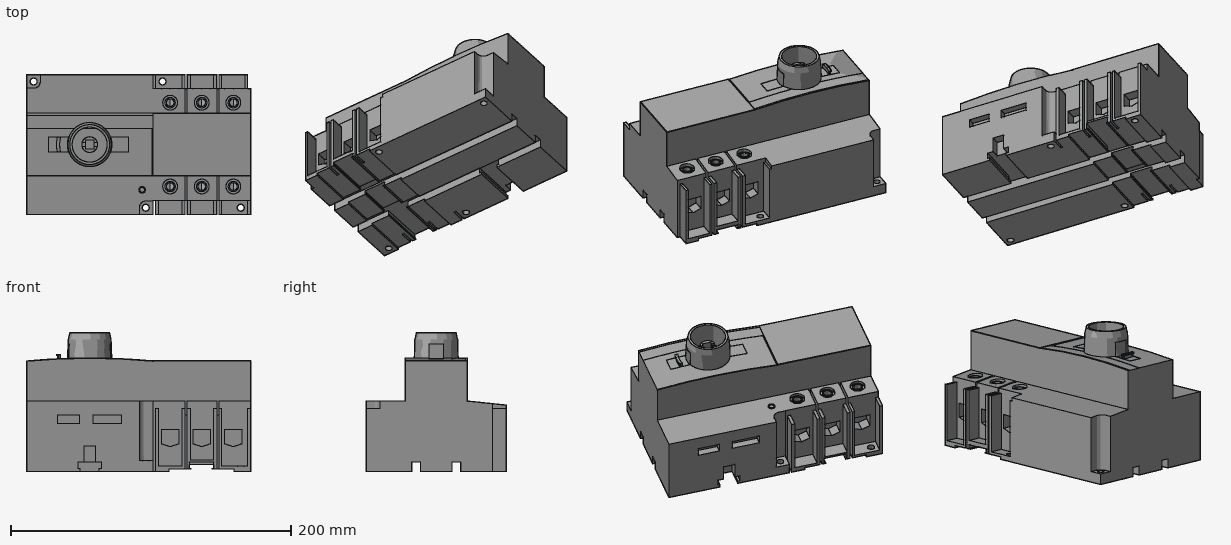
import cadquery as cq


length = 160.0
width = 100.0
half_width = width / 2
total_height = 99.2
shoulder_height = 50.4
rear_edge_height = 47.5
mechanism_length = 90.2
terminal_half_width = 40.0

ridge_half_width = 22.4
cover_height = 79.4
crown_end_height = 79.0
crown_height = 81.1
edge_break = 0.3
seam_width = 0.6
seam_depth = 0.3
strip_front = 11.4
strip_rear = 20.8
strip_depth = 0.2

knob_x = 45.0
knob_base_radius = 15.8
knob_break_radius = 15.4
knob_top_radius = 14.2
knob_break_height = 94.2
knob_bore_radius = 12.5
knob_seat = crown_end_height
pointer_width = 10.5
pointer_top = 91.2
pad_thickness = 0.2
hub_radius = 5.6
hub_top = 90.4
hub_notch_width = 2.7
hub_notch_depth = 1.6
socket_size = 6.2

slot_left = 15.5
slot_right = 72.6
slot_depth = 0.2
lever_outer_radius = 23.7
lever_rib_radius = 23.0
lever_rib_width = 8.0
lever_tab_radius = 22.4
lever_inner_radius = 21.5
lever_top = 83.7
lever_flange_thickness = 0.8

pole_pitch = 22.5
first_pole_x = 102.4
pole_x = [first_pole_x + pole_pitch * i for i in range(3)]
gap_floor = 40.3
fin_height = 45.1
tray_floor = 3.8
middle_tray_floor = 8.2
screw_y = 30.0
screw_bore_radius = 5.3
screw_bore_depth = 2.0
screw_head_radius = 3.7
screw_head_height = 1.1
screw_socket_radius = 2.7
screw_socket_depth = 4.8
window_width = 12.3
window_top = 30.0
window_side = 19.8
window_tip = 17.8
window_depth = 8.0

front_trays = [(91.8, 94.2, 110.9, 113.1), (114.5, 116.8, 133.5, 135.7), (137.3, 139.0, 157.8, length)]
rear_trays = [(mechanism_length, 91.8, 110.9, 113.1), (114.5, 116.8, 133.5, 135.7), (137.3, 139.0, 156.0, 157.8)]

mount_hole_radius = 2.4
mount_inset = 5.0
corner_size = 9.8
corner_radius = 4.8
corner_floor = 7.8
rail_groove_inner = 11.4
rail_groove_outer = 17.5
rail_groove_height = 6.7
foot_left = 101.8
foot_right = 147.8
foot_height = 1.8
lip_height = 2.2
channel_height = 5.0
channel_mouth = (117.5, 132.3)
channel_span = (116.2, 133.5)
mount_holes = [
    (mount_inset, 1),
    (97.0, 1),
    (85.0, -1),
    (152.8, -1),
]

front_window_spans = [(22.0, 37.8), (47.5, 67.7)]
front_window_bottom = 34.2
front_window_top = 40.5
front_window_depth = 5.1
latch_stem_span = (41.0, 49.3)
latch_stem_top = 18.4
latch_stem_depth = 6.2
latch_slide_span = (36.6, 53.3)
latch_mouth_span = (38.2, 51.5)

indicator_x = 82.4
indicator_y = -32.3
indicator_outer_radius = 2.4
indicator_inner_radius = 1.8
indicator_depth = 0.5


def box(x0, x1, y0, y1, z0, z1):
    """Axis-aligned box between two opposite corners."""
    return cq.Workplane("XY").box(x1 - x0, y1 - y0, z1 - z0, centered=False).translate((x0, y0, z0))


def rod(x, y, radius, z0, z1):
    """Vertical cylinder."""
    return cq.Workplane("XY", origin=(x, y, z0)).circle(radius).extrude(z1 - z0)


def rear_shelf_height(y):
    """Height of the sloping shelf behind the ridge."""
    fall = shoulder_height - rear_edge_height
    return shoulder_height - fall * (y - ridge_half_width) / (half_width - ridge_half_width)


def base_block(x0, x1, reach):
    """Lower housing: level shelf in front, sloping shelf behind the ridge."""
    outline = [
        (-reach, 0),
        (reach, 0),
        (reach, rear_shelf_height(reach)),
        (ridge_half_width, shoulder_height),
        (-reach, shoulder_height),
    ]
    return cq.Workplane("YZ", origin=(x0, 0, 0)).polyline(outline).close().extrude(x1 - x0)


def crown_profile(offset=0.0):
    """Side outline of the crowned half of the ridge, its top lowered by offset."""
    return (
        cq.Workplane("XZ", origin=(0, ridge_half_width, 0))
        .moveTo(0, 0)
        .lineTo(0, crown_end_height - offset)
        .threePointArc(
            (mechanism_length / 2, crown_height - offset),
            (mechanism_length, crown_end_height - offset),
        )
        .lineTo(mechanism_length, 0)
        .close()
        .extrude(2 * ridge_half_width)
    )


def crown_skin(x0, x1, y0, y1, depth):
    """Thin layer under the crowned top, for shallow recesses that follow it."""
    above = box(x0, x1, y0, y1, shoulder_height, total_height)
    return above.intersect(crown_profile().cut(crown_profile(depth)))


def ridge():
    """Crowned mechanism cover and flat terminal cover, with softened outer edges."""
    crown = crown_profile().faces("<Y").edges(">Z").chamfer(edge_break)
    crown = crown.cut(crown_skin(0, mechanism_length, strip_front, strip_rear, strip_depth))
    seam_left = mechanism_length - seam_width
    crown = crown.cut(crown_skin(seam_left, mechanism_length, -ridge_half_width, strip_front, seam_depth))
    cover = box(mechanism_length, length, -ridge_half_width, ridge_half_width, 0, cover_height)
    cover = cover.faces(">Z or >X").edges("not(<Z or <X)").chamfer(edge_break)
    return crown.union(cover)


def tray(walls, floor, side):
    """Open wiring tray with two fins; side is -1 in front and +1 behind."""
    left, inner_left, inner_right, right = walls
    y0, y1 = sorted((side * terminal_half_width, side * half_width))
    block = box(left, right, y0, y1, 0, fin_height)
    return block.cut(box(inner_left, inner_right, y0, y1, floor, fin_height))


def wire_window(x, side):
    """Pentagonal wire entry in a terminal face."""
    half = window_width / 2
    outline = [
        (x - half, window_top),
        (x + half, window_top),
        (x + half, window_side),
        (x, window_tip),
        (x - half, window_side),
    ]
    start = terminal_half_width if side > 0 else window_depth - terminal_half_width
    return cq.Workplane("XZ", origin=(0, start, 0)).polyline(outline).close().extrude(window_depth)


def screw_well(x, side):
    """Space around and inside a sunken screw head; half of its socket floor is a ramp."""
    y = side * screw_y
    shelf = rear_shelf_height(y) if side > 0 else shoulder_height
    well_floor = shelf - screw_bore_depth
    head_top = well_floor + screw_head_height
    socket_floor = head_top - screw_socket_depth
    well = rod(x, y, screw_bore_radius, well_floor, total_height)
    well = well.cut(rod(x, y, screw_head_radius, well_floor, head_top))
    ramp = (
        cq.Workplane("XZ", origin=(x, y + screw_socket_radius, socket_floor))
        .polyline([(0, 0), (screw_socket_radius, 0), (screw_socket_radius, screw_socket_radius / 2)])
        .close()
        .extrude(2 * screw_socket_radius)
    )
    socket = rod(x, y, screw_socket_radius, socket_floor, head_top).cut(ramp)
    return well.union(socket)


def add_terminals(body):
    """Wiring trays, slits between poles, wire entries and sunken screws on both sides."""
    for walls, rear_walls in zip(front_trays, rear_trays):
        floor = middle_tray_floor if walls is front_trays[1] else tray_floor
        body = body.union(tray(walls, floor, -1)).union(tray(rear_walls, floor, 1))
    for i in range(2):
        left = front_trays[i][3]
        right = front_trays[i + 1][0]
        for side in (-1, 1):
            y0, y1 = sorted((side * ridge_half_width, side * terminal_half_width))
            body = body.cut(box(left, right, y0, y1, gap_floor, shoulder_height))
    for x in pole_x:
        for side in (-1, 1):
            body = body.cut(wire_window(x, side)).cut(screw_well(x, side))
    return body


def knob_cone(thickening=0.0):
    """Solid lower part of the knob, narrowing toward its break line."""
    return (
        cq.Workplane("XZ")
        .moveTo(0, knob_seat)
        .lineTo(knob_base_radius + thickening, knob_seat)
        .lineTo(knob_break_radius + thickening, knob_break_height)
        .lineTo(0, knob_break_height)
        .close()
        .revolve(360, (0, 0), (0, 1))
    )


def knob():
    """Hollow tapered knob with a thin pointer pad on each side and a square-socket hub."""
    rim = (
        cq.Workplane("XY", origin=(0, 0, knob_break_height))
        .circle(knob_break_radius)
        .workplane(offset=total_height - knob_break_height)
        .circle(knob_top_radius)
        .loft()
    )
    half = pointer_width / 2
    pad_reach = 2 * knob_base_radius
    pads = box(-pad_reach, pad_reach, -half, half, knob_seat, pointer_top)
    shell = knob_cone().union(pads.intersect(knob_cone(pad_thickness))).union(rim)
    shell = shell.cut(rod(0, 0, knob_bore_radius, knob_seat, total_height))

    hub = rod(0, 0, hub_radius, knob_seat, hub_top)
    reach = socket_size / 2
    hub = hub.cut(box(-reach, reach, -reach, reach, crown_height, hub_top))
    notch = hub_notch_width / 2
    hub = hub.cut(box(-hub_radius, hub_radius, -notch, notch, hub_top - hub_notch_depth, hub_top))
    return shell.union(hub).translate((knob_x, 0, 0))


def lever():
    """Upright tab bent around the knob axis, with an outer rib and a flange at its top."""

    def bent_plate(outer_radius, plate_width, z0):
        plate = rod(knob_x, 0, outer_radius, z0, lever_top)
        plate = plate.cut(rod(knob_x, 0, lever_inner_radius, z0, lever_top))
        return plate.intersect(box(0, knob_x, -plate_width / 2, plate_width / 2, z0, lever_top))

    tab = bent_plate(lever_tab_radius, pointer_width, knob_seat)
    rib = bent_plate(lever_rib_radius, lever_rib_width, knob_seat)
    flange = bent_plate(lever_outer_radius, pointer_width, lever_top - lever_flange_thickness)
    return tab.union(rib).union(flange)


def lever_slot():
    """Shallow slot for the lever, interrupted below the knob."""
    half = pointer_width / 2
    slot = crown_skin(slot_left, slot_right, -half, half, slot_depth)
    return slot.cut(rod(knob_x, 0, knob_bore_radius, 0, total_height))


def cut_front_face(body):
    """Two blind windows and the latch pocket in the front of the mechanism housing."""
    front = -half_width
    groove = -rail_groove_outer
    for left, right in front_window_spans:
        back = front + front_window_depth
        body = body.cut(box(left, right, front, back, front_window_bottom, front_window_top))
    body = body.cut(box(*latch_stem_span, front, front + latch_stem_depth, lip_height, latch_stem_top))
    body = body.cut(box(*latch_slide_span, front, groove, lip_height, rail_groove_height))
    return body.cut(box(*latch_mouth_span, front, groove, 0, lip_height))


def cut_underside(body):
    """Rail grooves along X, and the channel between the feet along Y."""
    for side in (-1, 1):
        y0, y1 = sorted((side * rail_groove_inner, side * rail_groove_outer))
        body = body.cut(box(0, length, y0, y1, 0, rail_groove_height))
    body = body.cut(box(foot_left, foot_right, -half_width, half_width, 0, foot_height))
    body = body.cut(box(*channel_mouth, -half_width, half_width, 0, lip_height))
    body = body.cut(box(*channel_span, -half_width, half_width, lip_height, channel_height))
    return body.cut(
        box(*channel_span, -half_width, -rail_groove_outer, channel_height, rail_groove_height)
    )


def cut_mounting(body):
    """Two open corner recesses with one rounded inner corner, and four through holes."""
    front_corner = box(
        mechanism_length - corner_size, mechanism_length,
        -half_width, corner_size - half_width, corner_floor, total_height,
    ).edges("|Z and <X and >Y").fillet(corner_radius)
    rear_corner = box(
        0, corner_size, half_width - corner_size, half_width, corner_floor, total_height,
    ).edges("|Z and >X and <Y").fillet(corner_radius)
    body = body.cut(front_corner).cut(rear_corner)
    hole_y = half_width - mount_inset
    for x, side in mount_holes:
        body = body.cut(rod(x, side * hole_y, mount_hole_radius, 0, shoulder_height))
    return body


def indicator_groove():
    """Shallow ring around the indicator on the front shelf."""
    floor = shoulder_height - indicator_depth
    ring = rod(indicator_x, indicator_y, indicator_outer_radius, floor, shoulder_height)
    return ring.cut(rod(indicator_x, indicator_y, indicator_inner_radius, floor, shoulder_height))


body = base_block(0, mechanism_length, half_width)
body = body.union(base_block(mechanism_length, length, terminal_half_width))
body = body.union(ridge())
body = add_terminals(body)
body = cut_front_face(body)
body = cut_underside(body)
body = cut_mounting(body)
body = body.cut(indicator_groove())
body = body.cut(lever_slot())
result = body.union(knob()).union(lever())